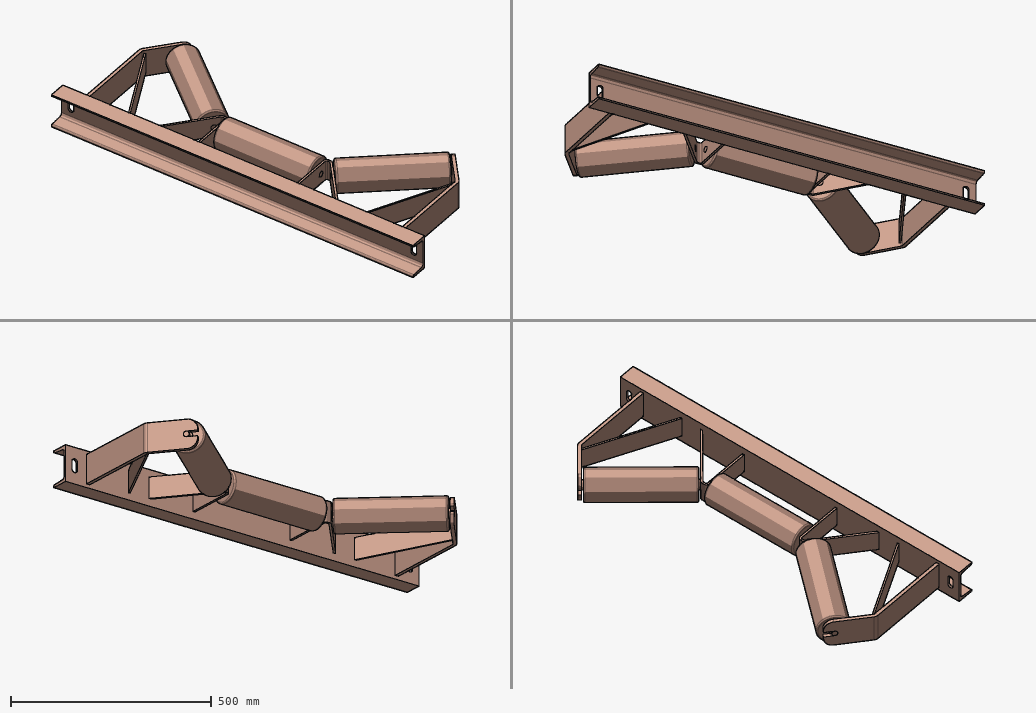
import cadquery as cq
import math


BEAM_LENGTH = 1100.0
BEAM_HEIGHT = 100.0
BEAM_DEPTH = BEAM_HEIGHT / 2
WEB = 6.0
FLANGE = 8.5
FLANGE_SLOPE = 0.08
ROOT_RADIUS = 8.5
TOE_RADIUS = 4.0
SLOT_LENGTH = 37.0
SLOT_WIDTH = 16.0
SLOT_INSET = 29.0

ROLLER_DIAMETER = 89.0
ROLLER_LENGTH = 288.0
ROLLER_EDGE_RADIUS = 4.0
SHAFT_DIAMETER = 15.0
HUB_DIAMETER = 26.0
TROUGH_ANGLE = 40.0
MIDDLE_ROLLER_Y = 118.0
SIDE_ROLLER_X = 296.0
SIDE_ROLLER_Y = 224.0
MIDDLE_GAP = 3.0
SIDE_GAP = 4.0

OUTER_WIDTH = 80.0
OUTER_PLATE = 10.0
OUTER_POST_X = 485.0
OUTER_BEND_RADIUS = 8.0
OUTER_TIP = 29.0
OUTER_CORNER = 26.0
INNER_WIDTH = 58.0
INNER_PLATE = 6.0
INNER_TOP_Y = 146.0
INNER_BEND_RADIUS = 3.8

BRACE_PLATE = 5.0
BRACE_WIDTH = 60.0
BRACE_FOOT_X = 352.0
BRACE_ANGLE = 64.0

COS = math.cos(math.radians(TROUGH_ANGLE))
SIN = math.sin(math.radians(TROUGH_ANGLE))


def side_point(along, across=0.0):
    """Point (x, y) at a distance along the inclined axis and across it, from the roller's middle."""
    return (
        SIDE_ROLLER_X + along * COS - across * SIN,
        SIDE_ROLLER_Y + along * SIN + across * COS,
    )


def side_face_x(along, y):
    """X where the plane square to the inclined axis passes height y."""
    return SIDE_ROLLER_X + (along - (y - SIDE_ROLLER_Y) * SIN) / COS


def side_face_y(along, x):
    """Y where the plane square to the inclined axis passes x."""
    return SIDE_ROLLER_Y + (along - (x - SIDE_ROLLER_X) * COS) / SIN


def plate(outline, width):
    """Solid with an XY outline, centred on Z = 0."""
    return cq.Workplane("XY").polyline(outline).close().extrude(width / 2, both=True)


def round_bend(body, corner, radius):
    """Fillet the edge along Z at an (x, y) corner."""
    edge = cq.selectors.NearestToPointSelector((*corner, 0))
    return body.edges("|Z").edges(edge).fillet(radius)


def make_beam():
    middle_y = -BEAM_DEPTH / 2
    half = BEAM_HEIGHT / 2
    root_z = half - FLANGE + FLANGE_SLOPE * (middle_y + WEB)
    toe_z = half - FLANGE + FLANGE_SLOPE * (middle_y + BEAM_DEPTH)
    profile = [
        (0, -half),
        (0, half),
        (-BEAM_DEPTH, half),
        (-BEAM_DEPTH, toe_z),
        (-WEB, root_z),
        (-WEB, -root_z),
        (-BEAM_DEPTH, -toe_z),
        (-BEAM_DEPTH, -half),
    ]
    beam = cq.Workplane("YZ").polyline(profile).close().extrude(BEAM_LENGTH / 2, both=True)
    for side in (-1, 1):
        root = cq.selectors.NearestToPointSelector((0, -WEB, side * root_z))
        beam = beam.edges("|X").edges(root).fillet(ROOT_RADIUS)
        toe = cq.selectors.NearestToPointSelector((0, -BEAM_DEPTH, side * toe_z))
        beam = beam.edges("|X").edges(toe).fillet(TOE_RADIUS)
    slot_x = BEAM_LENGTH / 2 - SLOT_INSET
    slots = (
        cq.Workplane("XZ")
        .pushPoints([(-slot_x, 0), (slot_x, 0)])
        .slot2D(SLOT_LENGTH, SLOT_WIDTH, 90)
        .extrude(WEB)
    )
    return beam.cut(slots)


def round_bar(diameter, start_x, end_x):
    """Cylinder on the X axis."""
    bar = cq.Workplane("YZ", origin=(start_x, 0, 0)).circle(diameter / 2)
    return bar.extrude(end_x - start_x)


def make_roller(gap, start_plate, end_plate):
    """Roller along X, its hubs reaching the supports and its shaft the supports' far faces."""
    half = ROLLER_LENGTH / 2
    hub_end = half + gap
    shell = round_bar(ROLLER_DIAMETER, -half, half).faces("<X or >X").edges().fillet(ROLLER_EDGE_RADIUS)
    hubs = round_bar(HUB_DIAMETER, -hub_end, hub_end)
    shaft = round_bar(SHAFT_DIAMETER, -hub_end - start_plate, hub_end + end_plate)
    return shell.union(hubs).union(shaft)


def make_middle_roller():
    roller = make_roller(MIDDLE_GAP, INNER_PLATE, INNER_PLATE)
    return roller.translate((0, MIDDLE_ROLLER_Y, 0))


def make_side_roller():
    return place_on_side_axis(make_roller(SIDE_GAP, INNER_PLATE, OUTER_PLATE))


def place_on_side_axis(body):
    """Carry a body from the X axis to the inclined axis."""
    turned = body.rotate((0, 0, 0), (0, 0, 1), TROUGH_ANGLE)
    return turned.translate((SIDE_ROLLER_X, SIDE_ROLLER_Y, 0))


def make_outer_support():
    near = ROLLER_LENGTH / 2 + SIDE_GAP
    far = near + OUTER_PLATE
    post_inside_x = OUTER_POST_X - OUTER_PLATE
    outside_bend = (OUTER_POST_X, side_face_y(far, OUTER_POST_X))
    inside_bend = (post_inside_x, side_face_y(near, post_inside_x))
    support = plate(
        [
            (OUTER_POST_X, 0),
            outside_bend,
            side_point(far, OUTER_TIP),
            side_point(near, OUTER_TIP),
            inside_bend,
            (post_inside_x, 0),
        ],
        OUTER_WIDTH,
    )
    support = round_bend(support, outside_bend, OUTER_BEND_RADIUS + OUTER_PLATE)
    support = round_bend(support, inside_bend, OUTER_BEND_RADIUS)
    tip = side_point((near + far) / 2, OUTER_TIP)
    for side in (-1, 1):
        corner = cq.selectors.NearestToPointSelector((*tip, side * OUTER_WIDTH / 2))
        support = support.edges(corner).fillet(OUTER_CORNER)
    slot = round_bar(SHAFT_DIAMETER, 0, far)
    opening = cq.Workplane("XY").box(far, OUTER_TIP, SHAFT_DIAMETER, centered=(False, False, True))
    return support.cut(place_on_side_axis(slot.union(opening)))


def make_inner_support():
    post_x = ROLLER_LENGTH / 2 + MIDDLE_GAP
    top_under_y = INNER_TOP_Y - INNER_PLATE
    leg_face = -ROLLER_LENGTH / 2 - SIDE_GAP
    leg_back = leg_face - INNER_PLATE
    outside_bends = [(post_x, INNER_TOP_Y), (side_face_x(leg_face, INNER_TOP_Y), INNER_TOP_Y)]
    inside_bends = [
        (side_face_x(leg_back, top_under_y), top_under_y),
        (post_x + INNER_PLATE, top_under_y),
    ]
    support = plate(
        [
            (post_x, 0),
            *outside_bends,
            (side_face_x(leg_face, 0), 0),
            (side_face_x(leg_back, 0), 0),
            *inside_bends,
            (post_x + INNER_PLATE, 0),
        ],
        INNER_WIDTH,
    )
    for corner in outside_bends:
        support = round_bend(support, corner, INNER_BEND_RADIUS + INNER_PLATE)
    for corner in inside_bends:
        support = round_bend(support, corner, INNER_BEND_RADIUS)
    return support.cut(make_middle_roller()).cut(make_side_roller())


def make_brace(outer_support):
    """Flat strip from the beam to the bend of an outer support, shaped to fit the bend."""
    slope = math.tan(math.radians(BRACE_ANGLE))
    half_foot = BRACE_PLATE / 2 / math.sin(math.radians(BRACE_ANGLE))
    top_x = OUTER_POST_X - OUTER_PLATE
    outline = [
        (BRACE_FOOT_X - half_foot, 0),
        (BRACE_FOOT_X + half_foot, 0),
        (top_x, (top_x - BRACE_FOOT_X - half_foot) * slope),
        (top_x, (top_x - BRACE_FOOT_X + half_foot) * slope),
    ]
    trimmed = plate(outline, BRACE_WIDTH).cut(outer_support)
    return trimmed.solids("<Y")


beam = make_beam()
middle_roller = make_middle_roller()
outer_support = make_outer_support()
side_bodies = [make_side_roller(), outer_support, make_inner_support(), make_brace(outer_support)]

solids = [*beam.solids().vals(), *middle_roller.solids().vals()]
for body in side_bodies:
    solids.extend(body.solids().vals())
    solids.extend(body.mirror("YZ").solids().vals())

result = cq.Compound.makeCompound(solids)